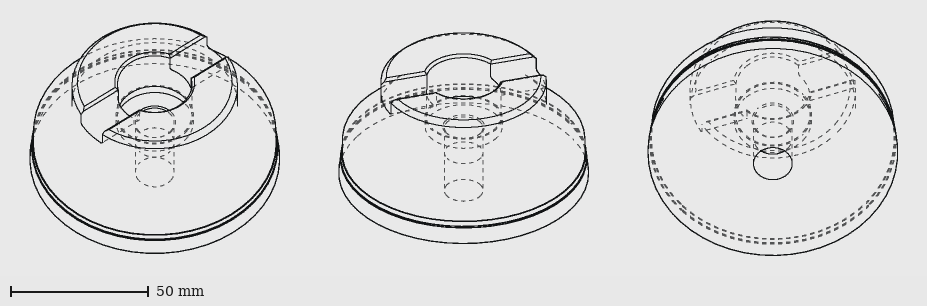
import cadquery as cq
import math

TOTAL_HEIGHT = 50.0
SEAM_Z = 16.5

NECK_RADIUS = 60.0 / 2
SKIRT_RADIUS = 87.95 / 2
SKIRT_TOP_Z = 23.0
SHOULDER_TOP_Z = SKIRT_TOP_Z + SKIRT_RADIUS - NECK_RADIUS
SHOULDER_ROUND = 2.0
NECK_CHAMFER = 2.0

BORE_RADIUS = 27.0 / 2
BORE_CHAMFER = 1.0
BORE_FLOOR_Z = 28.0
RELIEF_RADIUS = 28.0 / 2
RELIEF_TOP_Z = 32.0
HOLE_RADIUS = 14.0 / 2
HOLE_CHAMFER = 0.5

SLOT_WIDTH = 12.2
SLOT_FLOOR_Z = 42.8
SLOT_FLOOR_ROUND = 0.9
SLOT_CHAMFER = 1.0

DISC_RADIUS = 90.6 / 2
DISC_TOP_RADIUS = 44.3
LOWER_FACE_RADIUS = 17.9
RIM_Z = 7.5
RIM_LAND = 0.3
LOWER_BAND_TOP_Z = 10.1
LOWER_BAND_TOP_RADIUS = 45.1
LEDGE_HEIGHT = 0.3
LEDGE_WIDTH = 0.1
GROOVE_BOTTOM_Z = 13.95
GROOVE_TOP_Z = 14.6
GROOVE_RIM_RADIUS = 44.7
GROOVE_DEPTH = 0.2


def revolve_profile(points):
    """Revolve a closed (radius, z) outline around the Z axis."""
    return cq.Workplane("XZ").polyline(points).close().revolve(360, (0, 0, 0), (0, 1, 0))


def hub_blank():
    """Solid hub with rounded shoulder edges and a chamfered top."""
    tangent = SHOULDER_ROUND * math.tan(math.pi / 8)
    run = tangent * math.sqrt(0.5)
    mid_radial = SHOULDER_ROUND * (1 - math.cos(math.pi / 8))
    mid_axial = tangent - SHOULDER_ROUND * math.sin(math.pi / 8)
    outline = (
        cq.Workplane("XZ")
        .moveTo(0, SEAM_Z)
        .lineTo(SKIRT_RADIUS, SEAM_Z)
        .lineTo(SKIRT_RADIUS, SKIRT_TOP_Z - tangent)
        .threePointArc(
            (SKIRT_RADIUS - mid_radial, SKIRT_TOP_Z - mid_axial),
            (SKIRT_RADIUS - run, SKIRT_TOP_Z + run),
        )
        .lineTo(NECK_RADIUS + run, SHOULDER_TOP_Z - run)
        .threePointArc(
            (NECK_RADIUS + mid_radial, SHOULDER_TOP_Z + mid_axial),
            (NECK_RADIUS, SHOULDER_TOP_Z + tangent),
        )
        .lineTo(NECK_RADIUS, TOTAL_HEIGHT - NECK_CHAMFER)
        .lineTo(NECK_RADIUS - NECK_CHAMFER, TOTAL_HEIGHT)
        .lineTo(0, TOTAL_HEIGHT)
        .close()
    )
    return outline.revolve(360, (0, 0, 0), (0, 1, 0))


def bore_cutter():
    """Through hole, relieved seat and main bore, with both mouths chamfered."""
    return revolve_profile([
        (0, 0),
        (HOLE_RADIUS, 0),
        (HOLE_RADIUS, BORE_FLOOR_Z - HOLE_CHAMFER),
        (HOLE_RADIUS + HOLE_CHAMFER, BORE_FLOOR_Z),
        (RELIEF_RADIUS, BORE_FLOOR_Z),
        (RELIEF_RADIUS, RELIEF_TOP_Z),
        (BORE_RADIUS, RELIEF_TOP_Z),
        (BORE_RADIUS, TOTAL_HEIGHT - BORE_CHAMFER),
        (BORE_RADIUS + BORE_CHAMFER, TOTAL_HEIGHT),
        (0, TOTAL_HEIGHT),
    ])


def slot_cutter():
    """Slot along Y with rounded floor corners and flared upper edges."""
    length = 2 * DISC_RADIUS
    half_width = SLOT_WIDTH / 2
    channel = (
        cq.Workplane("XY")
        .workplane(offset=SLOT_FLOOR_Z)
        .rect(SLOT_WIDTH, length)
        .extrude(TOTAL_HEIGHT - SLOT_FLOOR_Z)
        .edges("|Y and <Z")
        .fillet(SLOT_FLOOR_ROUND)
    )
    flare = (
        cq.Workplane("XZ")
        .polyline([
            (-half_width, TOTAL_HEIGHT - SLOT_CHAMFER),
            (half_width, TOTAL_HEIGHT - SLOT_CHAMFER),
            (half_width + SLOT_CHAMFER, TOTAL_HEIGHT),
            (-half_width - SLOT_CHAMFER, TOTAL_HEIGHT),
        ])
        .close()
        .extrude(length / 2, both=True)
    )
    return channel.union(flare)


def base_disc_blank():
    """Solid disc with a shallow cone below and stepped, tapered bands around it."""
    ledge_z = LOWER_BAND_TOP_Z + LEDGE_HEIGHT
    return revolve_profile([
        (0, 0),
        (LOWER_FACE_RADIUS, 0),
        (DISC_RADIUS, RIM_Z),
        (DISC_RADIUS, RIM_Z + RIM_LAND),
        (LOWER_BAND_TOP_RADIUS, LOWER_BAND_TOP_Z),
        (LOWER_BAND_TOP_RADIUS - LEDGE_WIDTH, ledge_z),
        (GROOVE_RIM_RADIUS, GROOVE_BOTTOM_Z),
        (GROOVE_RIM_RADIUS - GROOVE_DEPTH, GROOVE_BOTTOM_Z),
        (GROOVE_RIM_RADIUS - GROOVE_DEPTH, GROOVE_TOP_Z),
        (GROOVE_RIM_RADIUS, GROOVE_TOP_Z),
        (DISC_TOP_RADIUS, SEAM_Z),
        (0, SEAM_Z),
    ])


bore = bore_cutter()
hub = hub_blank().cut(bore).cut(slot_cutter()).solids()
base_disc = base_disc_blank().cut(bore).solids()

result = cq.Compound.makeCompound([hub.val(), base_disc.val()])